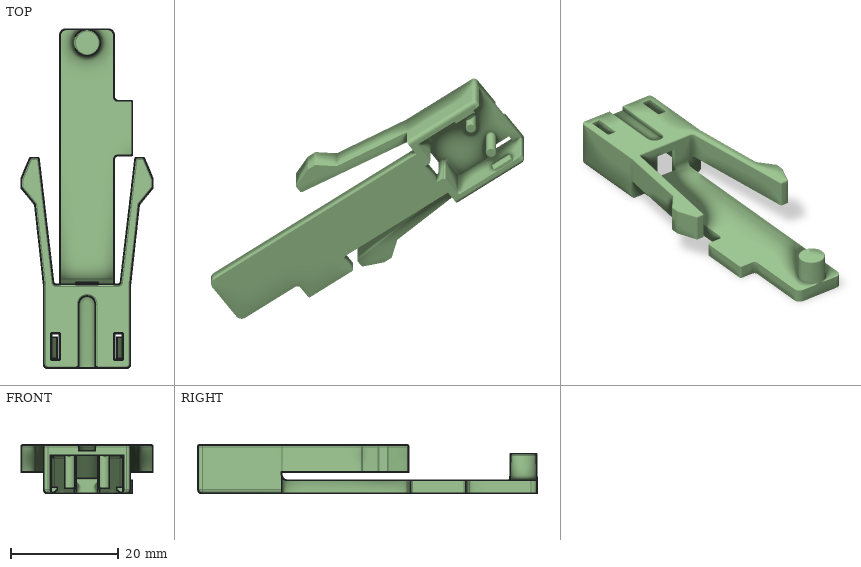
import cadquery as cq

LENGTH = 63.15
HEIGHT = 9.0

BODY_HALF_WIDTH = 8.1
BODY_LENGTH = 15.6
BODY_EDGE_RADIUS = 0.75
TOP_EDGE_RADIUS = 0.3

CAVITY_HALF_WIDTH = 6.6
CAVITY_HEIGHT = 7.1
REAR_WALL = 1.4
CAVITY_LENGTH = BODY_LENGTH - REAR_WALL
CAVITY_FILLET = 0.5
MOUTH_CHAMFER = 0.2

WINDOW_HALF_WIDTH = 2.0
WINDOW_REAR = BODY_LENGTH + 0.3
WINDOW_EDGE_RADIUS = 0.4

ARM_BOTTOM = 4.0
ARM_CORNER_RADIUS = 0.3
ARM_ROOT_HALF_GAP = 6.2
ARM_ROOT_RADIUS = 0.5
ARM_TIP_Y = 39.2
ARM_TIP_INNER_X = 8.95
ARM_TIP_OUTER_X = 10.6
BARB_X = 12.25
BARB_REAR_Y = 35.3
BARB_FRONT_Y = 33.6
BARB_FOOT_X = 9.7
BARB_FOOT_Y = 30.5

TONGUE_HALF_WIDTH = 5.05
TONGUE_THICKNESS = 2.45
TONGUE_CORNER_RADIUS = 1.2
TONGUE_ROOT_RADIUS = 1.1
TAB_X = 8.45
TAB_FRONT_Y = 39.6
TAB_REAR_Y = 49.8
TAB_INNER_RADIUS = 0.7
TAB_OUTER_RADIUS = 0.3
PIN_Y = 60.6
PIN_TOP = 7.4
PIN_BASE_RADIUS = LENGTH - PIN_Y
PIN_TOP_RADIUS = 2.45
PIN_FOOT_FLARE = 0.25
PIN_EDGE_RADIUS = 0.25

GROOVE_HALF_WIDTH = 1.5
GROOVE_DEPTH = 1.1
GROOVE_END_Y = 13.45
GROOVE_EDGE_RADIUS = 0.3

SLOT_INNER_X = 5.0
SLOT_OUTER_X = 6.75
SLOT_FRONT_Y = 1.5
SLOT_REAR_Y = 6.55
SLOT_CORNER_RADIUS = 0.25
SLOT_TAPER = 5.0
HOOK_X = 5.55
HOOK_ROOT_X = 6.05
HOOK_FRONT_Y = 1.8
HOOK_REAR_Y = 5.8
HOOK_BOTTOM = 0.2
HOOK_NOSE_BOTTOM = 0.7
HOOK_TOP = 1.15
POST_X = 3.2
POST_Y = 4.4
POST_RADIUS = 0.95
POST_BOTTOM = 0.95
POST_EDGE_RADIUS = 0.1

OVERLAP = 0.6


def block(x_min, x_max, y_min, y_max, z_min, z_max):
    """Axis-aligned box given by its limits."""
    size = (x_max - x_min, y_max - y_min, z_max - z_min)
    return cq.Workplane().box(*size, centered=False).translate((x_min, y_min, z_min))


def both_sides(solid):
    """The solid together with its mirror image across X = 0."""
    return solid.union(solid.mirror("YZ"))


def make_arm():
    """Right-hand spring arm with its barbed tip."""
    root_y = BODY_LENGTH - 2 * OVERLAP
    outline = [
        (ARM_ROOT_HALF_GAP, root_y),
        (BODY_HALF_WIDTH, root_y),
        (BODY_HALF_WIDTH, BODY_LENGTH),
        (BARB_FOOT_X, BARB_FOOT_Y),
        (BARB_X, BARB_FRONT_Y),
        (BARB_X, BARB_REAR_Y),
        (ARM_TIP_OUTER_X, ARM_TIP_Y),
        (ARM_TIP_INNER_X, ARM_TIP_Y),
        (ARM_ROOT_HALF_GAP, BODY_LENGTH),
    ]
    arm = cq.Workplane().polyline(outline).close().extrude(HEIGHT - ARM_BOTTOM)
    arm = arm.translate((0, 0, ARM_BOTTOM))
    barb_zone = cq.selectors.BoxSelector(
        (0, BARB_FOOT_Y - OVERLAP, 0), (BARB_X + OVERLAP, ARM_TIP_Y + OVERLAP, HEIGHT)
    )
    return arm.edges("|Z").edges(barb_zone).fillet(ARM_CORNER_RADIUS)


def make_shell():
    """Clip body and arms as one solid with rounded outer edges."""
    body = block(-BODY_HALF_WIDTH, BODY_HALF_WIDTH, 0, BODY_LENGTH, 0, HEIGHT)
    body = body.edges("|Z and <Y").fillet(BODY_EDGE_RADIUS)
    shell = body.union(both_sides(make_arm()))
    arm_roots = cq.selectors.BoxSelector(
        (-ARM_ROOT_HALF_GAP - 0.05, BODY_LENGTH - 0.05, ARM_BOTTOM),
        (ARM_ROOT_HALF_GAP + 0.05, BODY_LENGTH + 0.05, HEIGHT),
    )
    shell = shell.edges("|Z").edges(arm_roots).fillet(ARM_ROOT_RADIUS)
    shell = shell.faces(">Z").edges().fillet(TOP_EDGE_RADIUS)
    return shell.faces("<Z").edges("|Y").fillet(BODY_EDGE_RADIUS)


def make_cavity():
    """Void under the top plate, open to the front and below."""
    cavity = block(-CAVITY_HALF_WIDTH, CAVITY_HALF_WIDTH, 0, CAVITY_LENGTH, -OVERLAP, CAVITY_HEIGHT)
    cavity = cavity.faces(">Y").edges("|Z or >Z").fillet(CAVITY_FILLET)
    mouth_half_width = CAVITY_HALF_WIDTH + MOUTH_CHAMFER
    mouth = (
        cq.Workplane()
        .polyline([
            (-mouth_half_width, 0),
            (mouth_half_width, 0),
            (CAVITY_HALF_WIDTH, MOUTH_CHAMFER),
            (-CAVITY_HALF_WIDTH, MOUTH_CHAMFER),
        ])
        .close()
        .extrude(CAVITY_HEIGHT + OVERLAP)
        .translate((0, 0, -OVERLAP))
    )
    return cavity.union(mouth)


def make_window():
    """Opening through the rear wall, flared where it meets the cavity."""
    half = WINDOW_HALF_WIDTH
    radius = WINDOW_EDGE_RADIUS
    flare_y = CAVITY_LENGTH + radius
    return (
        cq.Workplane()
        .moveTo(-half, WINDOW_REAR)
        .lineTo(-half, flare_y)
        .radiusArc((-half - radius, CAVITY_LENGTH), -radius)
        .lineTo(-half - radius, CAVITY_LENGTH - CAVITY_FILLET)
        .lineTo(half + radius, CAVITY_LENGTH - CAVITY_FILLET)
        .lineTo(half + radius, CAVITY_LENGTH)
        .radiusArc((half, flare_y), -radius)
        .lineTo(half, WINDOW_REAR)
        .close()
        .extrude(CAVITY_HEIGHT + OVERLAP)
        .translate((0, 0, -OVERLAP))
    )


def make_tongue():
    """Flat tongue with its side tab and the fillet against the rear wall."""
    root_y = BODY_LENGTH - OVERLAP
    strip = block(-TONGUE_HALF_WIDTH, TONGUE_HALF_WIDTH, root_y, LENGTH, 0, TONGUE_THICKNESS)
    strip = strip.edges("|Z and >Y").fillet(TONGUE_CORNER_RADIUS)
    tab = block(0, TAB_X, TAB_FRONT_Y, TAB_REAR_Y, 0, TONGUE_THICKNESS)
    tab = tab.edges("|Z and >X").fillet(TAB_OUTER_RADIUS)
    tongue = strip.union(tab)
    tab_corners = cq.selectors.BoxSelector(
        (TONGUE_HALF_WIDTH - 0.05, TAB_FRONT_Y - 0.05, 0),
        (TONGUE_HALF_WIDTH + 0.05, TAB_REAR_Y + 0.05, TONGUE_THICKNESS),
    )
    tongue = tongue.edges("|Z").edges(tab_corners).fillet(TAB_INNER_RADIUS)
    root_fillet = (
        cq.Workplane("YZ")
        .moveTo(BODY_LENGTH + TONGUE_ROOT_RADIUS, TONGUE_THICKNESS)
        .radiusArc((BODY_LENGTH, TONGUE_THICKNESS + TONGUE_ROOT_RADIUS), TONGUE_ROOT_RADIUS)
        .lineTo(root_y, TONGUE_THICKNESS + TONGUE_ROOT_RADIUS)
        .lineTo(root_y, TONGUE_THICKNESS - OVERLAP)
        .lineTo(BODY_LENGTH + TONGUE_ROOT_RADIUS, TONGUE_THICKNESS - OVERLAP)
        .close()
        .extrude(TONGUE_HALF_WIDTH, both=True)
    )
    return tongue.union(root_fillet)


def make_pin():
    """Tapered pin with a flared foot, trimmed flush with the end of the tongue."""
    foot_z = TONGUE_THICKNESS + PIN_FOOT_FLARE
    foot_radius = PIN_BASE_RADIUS + PIN_FOOT_FLARE
    pin = (
        cq.Workplane("XZ")
        .moveTo(0, TONGUE_THICKNESS - OVERLAP)
        .lineTo(foot_radius, TONGUE_THICKNESS - OVERLAP)
        .lineTo(foot_radius, TONGUE_THICKNESS)
        .radiusArc((PIN_BASE_RADIUS, foot_z), PIN_FOOT_FLARE)
        .lineTo(PIN_TOP_RADIUS, PIN_TOP)
        .lineTo(0, PIN_TOP)
        .close()
        .revolve(360, (0, 0), (0, 1))
        .faces(">Z").edges().fillet(PIN_EDGE_RADIUS)
        .translate((0, PIN_Y, 0))
    )
    reach = foot_radius + OVERLAP
    return pin.intersect(block(-reach, reach, PIN_Y - reach, LENGTH, 0, HEIGHT))


def make_groove():
    """Cutter for the round-ended top groove, flaring out at its upper edges."""
    arc_y = GROOVE_END_Y - GROOVE_HALF_WIDTH
    groove = (
        cq.Workplane()
        .moveTo(-GROOVE_HALF_WIDTH, -OVERLAP)
        .lineTo(-GROOVE_HALF_WIDTH, arc_y)
        .threePointArc((0, GROOVE_END_Y), (GROOVE_HALF_WIDTH, arc_y))
        .lineTo(GROOVE_HALF_WIDTH, -OVERLAP)
        .close()
        .extrude(GROOVE_DEPTH + OVERLAP)
        .translate((0, 0, HEIGHT - GROOVE_DEPTH))
    )
    reach = GROOVE_HALF_WIDTH + OVERLAP
    cover = block(-reach, reach, -OVERLAP, GROOVE_END_Y + OVERLAP, HEIGHT, HEIGHT + OVERLAP)
    rim = cq.selectors.BoxSelector(
        (-GROOVE_HALF_WIDTH - 0.05, -OVERLAP + 0.05, HEIGHT - 0.05),
        (GROOVE_HALF_WIDTH + 0.05, GROOVE_END_Y + 0.05, HEIGHT + 0.05),
    )
    return groove.union(cover).edges(rim).fillet(GROOVE_EDGE_RADIUS)


def make_slot():
    """Right-hand latch slot cutter, tapered downward from the top face."""
    width = SLOT_OUTER_X - SLOT_INNER_X
    length = SLOT_REAR_Y - SLOT_FRONT_Y
    middle = ((SLOT_INNER_X + SLOT_OUTER_X) / 2, (SLOT_FRONT_Y + SLOT_REAR_Y) / 2)
    outline = cq.Sketch().rect(width, length).vertices().fillet(SLOT_CORNER_RADIUS)
    depth = HEIGHT - CAVITY_HEIGHT + CAVITY_FILLET
    slot = cq.Workplane().placeSketch(outline).extrude(-depth, taper=SLOT_TAPER)
    return slot.translate((*middle, HEIGHT))


def make_hook():
    """Right-hand latch hook on the inner side wall, undercut below its nose."""
    wall_x = CAVITY_HALF_WIDTH + OVERLAP
    return (
        cq.Workplane("XZ", origin=(0, HOOK_REAR_Y, 0))
        .polyline([
            (wall_x, HOOK_TOP),
            (HOOK_X, HOOK_TOP),
            (HOOK_X, HOOK_NOSE_BOTTOM),
            (HOOK_ROOT_X, HOOK_BOTTOM),
            (wall_x, HOOK_BOTTOM),
        ])
        .close()
        .extrude(HOOK_REAR_Y - HOOK_FRONT_Y)
    )


def make_post():
    """Right-hand post hanging from the top plate."""
    post = cq.Workplane().circle(POST_RADIUS).extrude(CAVITY_HEIGHT + OVERLAP - POST_BOTTOM)
    return post.faces("<Z").edges().fillet(POST_EDGE_RADIUS).translate((POST_X, POST_Y, POST_BOTTOM))


clip = make_shell().cut(make_groove()).cut(make_cavity()).cut(both_sides(make_slot()))
clip = clip.union(both_sides(make_hook())).union(both_sides(make_post()))
result = clip.union(make_tongue()).union(make_pin()).cut(make_window())